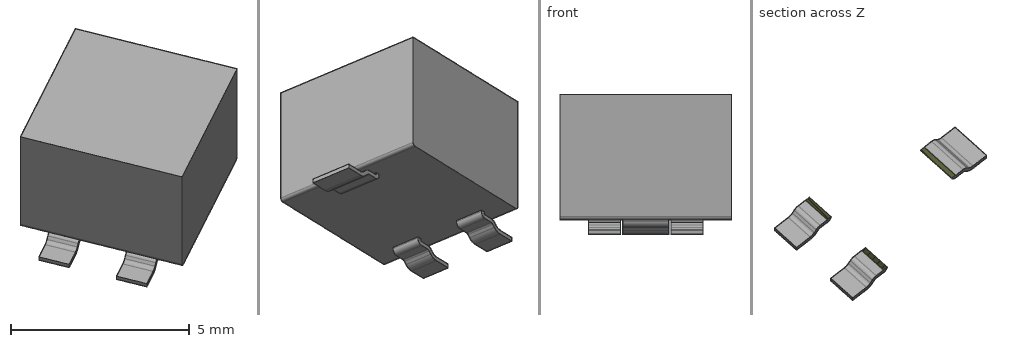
import cadquery as cq
import math

overall_depth = 6.0
overall_height = 3.91

housing_width = 4.8
housing_depth = 4.595
housing_bottom = 0.4
housing_edge_radius = 0.09

strip_thickness = 0.125
front_lead_width = 0.9
front_lead_spacing = 2.305
rear_lead_width = 1.295
foot_length = 0.52
shelf_height = 0.325
neck_inset = 1.33
slope_angle = math.radians(45)
foot_bend_radius = 0.215
shelf_bend_radius = 0.215
neck_bend_radius = 0.035


def make_housing():
    """Plain block with the lower front and rear edges rounded."""
    return (
        cq.Workplane("XY")
        .workplane(offset=housing_bottom)
        .box(housing_width, housing_depth, overall_height - housing_bottom, centered=(True, True, False))
        .edges("|X and <Z")
        .fillet(housing_edge_radius)
    )


def make_lead(width, x):
    """Gull-wing strip on the front side, swept along its centre line."""
    half_thickness = strip_thickness / 2
    foot_radius = foot_bend_radius + half_thickness
    shelf_radius = shelf_bend_radius - half_thickness
    neck_radius = neck_bend_radius + half_thickness
    sine = math.sin(slope_angle)
    bend_rise = 1 - math.cos(slope_angle)

    tip_y = -overall_depth / 2
    foot_z = half_thickness
    shelf_z = shelf_height - half_thickness
    neck_y = tip_y + neck_inset - half_thickness

    foot_end_y = tip_y + foot_length
    slope_start = (foot_end_y + foot_radius * sine, foot_z + foot_radius * bend_rise)
    slope_end_z = shelf_z - shelf_radius * bend_rise
    slope_end_y = slope_start[0] + (slope_end_z - slope_start[1]) / math.tan(slope_angle)
    shelf_start_y = slope_end_y + shelf_radius * sine

    centre_line = (
        cq.Workplane("YZ", origin=(x, 0, 0))
        .moveTo(tip_y, foot_z)
        .lineTo(foot_end_y, foot_z)
        .tangentArcPoint(slope_start, relative=False)
        .lineTo(slope_end_y, slope_end_z)
        .tangentArcPoint((shelf_start_y, shelf_z), relative=False)
        .lineTo(neck_y - neck_radius, shelf_z)
        .tangentArcPoint((neck_y, shelf_z + neck_radius), relative=False)
        .lineTo(neck_y, housing_bottom)
    )
    return (
        cq.Workplane("XZ", origin=(x, tip_y, foot_z))
        .rect(width, strip_thickness)
        .sweep(centre_line)
    )


housing = make_housing()
front_leads = [make_lead(front_lead_width, side * front_lead_spacing / 2) for side in (-1, 1)]
rear_lead = make_lead(rear_lead_width, 0).rotate((0, 0, 0), (0, 0, 1), 180)

result = cq.Compound.makeCompound([
    housing.val(),
    *[lead.val() for lead in front_leads],
    rear_lead.val(),
])